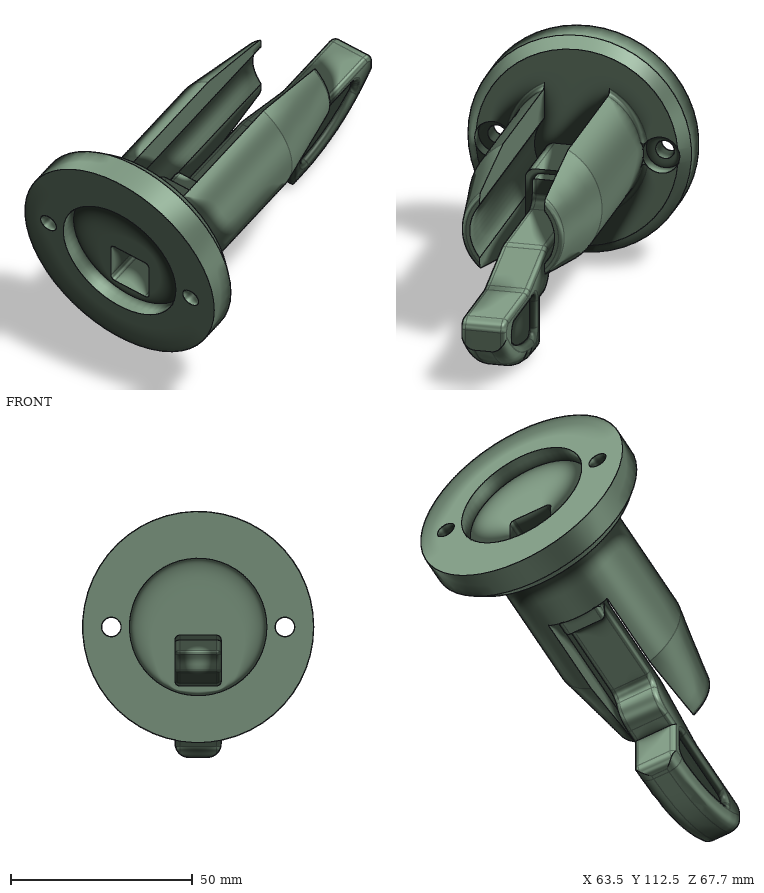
import cadquery as cq
import math

flange_radius = 31.77
flange_thickness = 11.0
flange_chamfer = 3.0

tube_radius = 18.9
taper_start = 55.7
tube_end = 81.0
tip_radius = 14.3
tip_fillet = 1.3
root_fillet = 1.5

slot_half_width = 9.2
bore_radius = 12.0

recess_depth = 5.0

screw_offset = 23.8
screw_hole_diameter = 5.3
counterbore_radius = 5.3
counterbore_depth = 4.5
relief_slope = 0.8

latch_width = 12.7
edge_round = 1.3
overall_length = 112.5

channel_top = -2.2
channel_bottom = -16.2
guide_end = 31.7
guide_wall = slot_half_width - latch_width / 2

paddle_top = -14.0
paddle_heel_y = 74.6
paddle_bottom = -35.9
sweep_radius = 49.9
sweep_center_y = 78.7
sweep_center_z = paddle_bottom + sweep_radius
paddle_corner = 3.0
sweep_round = 3.9

ramp_start_y = 87.3
ramp_end_y = 67.5
ramp_slope = 0.29
ramp_blend = 9.0
arm_top = paddle_top + ramp_slope * (ramp_start_y - ramp_end_y)
knuckle_bottom = -20.6
knuckle_radius = 7.2
knuckle_center_y = 70.9
arm_bottom = knuckle_bottom + knuckle_radius

head_back = 36.2
head_top = -0.6
head_bottom = -17.9
head_neck = 3.4
nose_top = -3.6
nose_bottom = -15.6
nose_length = 3.4
nose_lower_length = 2.5
nose_tip_top = nose_top - nose_length
nose_tip_bottom = -12.3
nose_round = 1.1
nose_hollow = 0.3

pocket_depth = 2.0
pocket_rim = 1.7
pocket_top = -17.8
pocket_heel_y = 78.8
pocket_front_y = 104.5
pocket_sweep_radius = sweep_radius - 5.7
pocket_corner = 2.2


def disc(radius, start, end):
    """Cylinder about the Y axis between two y positions."""
    return along_y(cq.Workplane("XZ").circle(radius), start, end)


def along_y(sketch, start, end):
    """Extrude a sketch drawn on the XZ plane from y = start to y = end."""
    return sketch.extrude(start - end).translate((0, start, 0))


def make_flange():
    flange = disc(flange_radius, 0, flange_thickness)
    return flange.faces(">Y").chamfer(flange_chamfer)


def make_tube():
    """Tapered tube, split lengthwise by the slot and hollowed by the bore."""
    tube = (
        cq.Workplane("XY")
        .moveTo(0, flange_thickness)
        .lineTo(tube_radius, flange_thickness)
        .lineTo(tube_radius, taper_start)
        .lineTo(tip_radius, tube_end)
        .lineTo(0, tube_end)
        .close()
        .revolve(360, (0, 0, 0), (0, 1, 0))
        .faces(">Y").edges().fillet(tip_fillet)
    )
    return tube.union(make_root_fillet())


def make_root_fillet():
    """Concave ring at the tube root, relieved beside each screw counterbore."""
    ring_top = flange_thickness + root_fillet
    ring_edge = tube_radius + root_fillet
    sag = root_fillet * (1 - math.sqrt(0.5))
    ring = (
        cq.Workplane("XY")
        .moveTo(tube_radius, flange_thickness)
        .lineTo(ring_edge, flange_thickness)
        .threePointArc((tube_radius + sag, flange_thickness + sag), (tube_radius, ring_top))
        .close()
        .revolve(360, (0, 0, 0), (0, 1, 0))
    )
    for side in (-1, 1):
        relief = cq.Workplane(cq.Solid.makeCone(
            counterbore_radius,
            counterbore_radius + relief_slope * root_fillet,
            root_fillet,
            cq.Vector(side * screw_offset, flange_thickness, 0),
            cq.Vector(0, 1, 0),
        ))
        ring = ring.cut(relief)
    return ring


def make_slot():
    """Slot and bore that open the tube between its two jaws."""
    slot_height = 2 * (tube_radius + root_fillet)
    slot = along_y(
        cq.Workplane("XZ").rect(2 * slot_half_width, slot_height), flange_thickness, tube_end
    )
    return slot.union(disc(bore_radius, flange_thickness, tube_end))


def make_guide_block():
    """Block around the latch channel; its underside follows the tube surface."""
    block_top = channel_top + guide_wall
    block_height = block_top + tube_radius + root_fillet
    sketch = cq.Workplane("XZ").center(0, block_top - block_height / 2)
    block = along_y(sketch.rect(2 * slot_half_width, block_height), flange_thickness, guide_end)
    block = block.edges("|Y and >Z").fillet(guide_wall)
    envelope = disc(tube_radius, flange_thickness, guide_end).union(make_root_fillet())
    return block.intersect(envelope)


def make_channel():
    height = channel_top - channel_bottom
    sketch = cq.Workplane("XZ").center(0, channel_bottom + height / 2)
    channel = along_y(sketch.rect(latch_width, height), 0, guide_end)
    return channel.edges("|Y").fillet(edge_round)


def make_housing():
    housing = make_flange()
    for side in (-1, 1):
        center = cq.Workplane("XZ").center(side * screw_offset, 0)
        housing = housing.cut(
            along_y(center.circle(screw_hole_diameter / 2), 0, flange_thickness)
        )
        housing = housing.cut(along_y(
            center.circle(counterbore_radius),
            flange_thickness - counterbore_depth,
            flange_thickness,
        ))
    housing = housing.union(make_tube().cut(make_slot()))
    housing = housing.union(make_guide_block())
    housing = housing.cut(disc(tube_radius, 0, recess_depth))
    return housing.cut(make_channel())


def sweep_z(y, radius):
    """Height of a circle about the sweep centre, on its lower side."""
    return sweep_center_z - math.sqrt(radius ** 2 - (y - sweep_center_y) ** 2)


def latch_blank():
    """Latch side outline with the paddle still square below, extruded across its width."""
    nose_tip = guide_end - nose_length
    nose_lower_tip = guide_end - nose_lower_length
    knuckle_diagonal = knuckle_radius * math.sqrt(0.5)
    return (
        cq.Workplane("YZ")
        .moveTo(overall_length, paddle_top)
        .lineTo(ramp_start_y, paddle_top)
        .lineTo(ramp_end_y, arm_top)
        .lineTo(head_back, arm_top)
        .lineTo(head_back, head_top)
        .lineTo(guide_end, head_top)
        .lineTo(guide_end, nose_top)
        .lineTo(nose_tip, nose_tip_top)
        .threePointArc(
            (
                (nose_tip + nose_lower_tip) / 2 + nose_hollow,
                (nose_tip_top + nose_tip_bottom) / 2,
            ),
            (nose_lower_tip, nose_tip_bottom),
        )
        .lineTo(guide_end, nose_bottom)
        .lineTo(guide_end, head_bottom)
        .lineTo(head_back, head_bottom)
        .lineTo(head_back, arm_bottom)
        .lineTo(knuckle_center_y - knuckle_radius, arm_bottom)
        .threePointArc(
            (knuckle_center_y - knuckle_diagonal, arm_bottom - knuckle_diagonal),
            (knuckle_center_y, knuckle_bottom),
        )
        .lineTo(paddle_heel_y, knuckle_bottom)
        .lineTo(paddle_heel_y, paddle_bottom)
        .lineTo(overall_length, paddle_bottom)
        .close()
        .extrude(latch_width / 2, both=True)
    )


def edge_at(y, z):
    """Selector for the crosswise edge that passes through (y, z)."""
    return cq.selectors.NearestToPointSelector((0, y, z))


def make_pocket():
    """Pocket cutter that reaches from the plane x = 0 toward +X."""
    mid_y = (pocket_heel_y + pocket_front_y) / 2
    return (
        cq.Workplane("YZ")
        .moveTo(pocket_heel_y, pocket_top)
        .lineTo(pocket_front_y, pocket_top)
        .lineTo(pocket_front_y, sweep_z(pocket_front_y, pocket_sweep_radius))
        .threePointArc(
            (mid_y, sweep_z(mid_y, pocket_sweep_radius)),
            (pocket_heel_y, sweep_z(pocket_heel_y, pocket_sweep_radius)),
        )
        .close()
        .extrude(pocket_depth)
        .edges("|X").fillet(pocket_corner)
    )


def round_profile_corners(latch):
    """Round the corners of the side outline, each given as (y, z, radius)."""
    corners = [
        (ramp_start_y, paddle_top, ramp_blend),
        (ramp_end_y, arm_top, ramp_blend),
        (head_back, arm_top, head_neck),
        (overall_length, paddle_top, paddle_corner),
        (paddle_heel_y, paddle_bottom, paddle_corner),
        (knuckle_center_y - knuckle_radius, arm_bottom, head_neck),
        (guide_end - nose_length, nose_tip_top, nose_round),
        (guide_end - nose_lower_length, nose_tip_bottom, nose_round),
        (guide_end, nose_bottom, nose_round),
    ]
    for y, z, radius in corners:
        latch = latch.edges("|X").edges(edge_at(y, z)).fillet(radius)
    return latch


def paddle_envelope():
    """Slab as wide as the latch whose curved underside has large side roundings."""
    mid_y = (sweep_center_y + overall_length) / 2
    slab = (
        cq.Workplane("YZ")
        .moveTo(overall_length, sweep_z(overall_length, sweep_radius))
        .threePointArc((mid_y, sweep_z(mid_y, sweep_radius)), (sweep_center_y, paddle_bottom))
        .lineTo(paddle_heel_y, paddle_bottom)
        .lineTo(paddle_heel_y, 0)
        .lineTo(overall_length, 0)
        .close()
        .extrude(latch_width / 2, both=True)
    )
    underside = cq.selectors.BoxSelector(
        (-latch_width, paddle_heel_y + edge_round, paddle_bottom - edge_round),
        (latch_width, overall_length - edge_round, sweep_z(overall_length, sweep_radius)),
    )
    return slab.faces("<X or >X").edges(underside).fillet(sweep_round)


def underside_waste():
    """Material to remove from the square blank to leave the shaped underside."""
    length = overall_length - paddle_heel_y
    height = -paddle_bottom
    block = (
        cq.Workplane("YZ")
        .center(paddle_heel_y + length / 2, -height / 2)
        .rect(length, height)
        .extrude(latch_width / 2, both=True)
    )
    return block.cut(paddle_envelope())


def make_latch():
    latch = round_profile_corners(latch_blank()).faces("<X or >X").edges().fillet(edge_round)
    latch = latch.cut(underside_waste())
    pocket = make_pocket().translate((-latch_width / 2, 0, 0))
    latch = latch.cut(pocket).cut(pocket.mirror("YZ"))
    margin = 0.1
    pocket_bottom = sweep_z(pocket_heel_y, pocket_sweep_radius)
    mouths = latch.faces("<X or >X").edges(cq.selectors.BoxSelector(
        (-latch_width, pocket_heel_y - margin, pocket_bottom - margin),
        (latch_width, pocket_front_y + margin, pocket_top + margin),
    ))
    return mouths.fillet(pocket_rim)


housing = make_housing()
latch = make_latch()

result = cq.Compound.makeCompound([housing.val(), latch.val()])